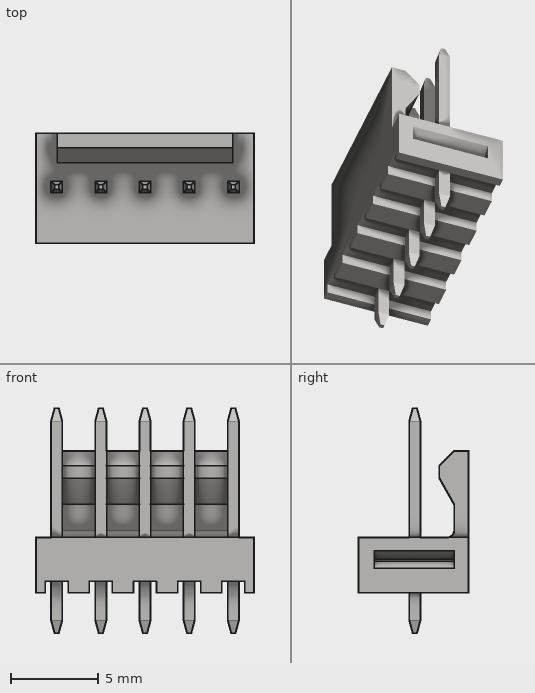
import cadquery as cq

body_length = 12.55
body_depth = 6.35
body_height = 3.19

pin_count = 5
pin_pitch = 2.54
pin_width = 0.66
pin_length = 12.95
pin_below_body = 2.33
pin_y = 3.25
tip_height = 0.76
tip_width = 0.25

groove_width = 1.31
groove_depth = 0.66

wall_length = 10.11
wall_height = 4.97
wall_thickness = 0.84
hook_reach = 0.85
hook_nose_height = 0.71
hook_underside_height = 1.52
wall_root_radius = 0.4

pocket_margin = 0.84
pocket_width = 4.58
pocket_top_gap = 0.76
pocket_depth = 0.61
pocket_roof_drop = 0.48
pocket_floor_rise = 0.4
pocket_end_height = 0.12

pin_positions = [(i - (pin_count - 1) / 2) * pin_pitch for i in range(pin_count)]


def make_body():
    body = cq.Workplane("XY").box(body_length, body_depth, body_height, centered=(True, False, False))
    for x in pin_positions:
        groove = (
            cq.Workplane("XY")
            .center(x, 0)
            .box(groove_width, body_depth, groove_depth, centered=(True, False, False))
        )
        body = body.cut(groove)
    return body


def make_pocket():
    """Pocket in the -X end: its roof and floor converge on a narrow end wall."""
    mouth_x = -body_length / 2
    end_x = mouth_x + pocket_depth
    roof_z = body_height - pocket_top_gap
    end_top_z = roof_z - pocket_roof_drop
    end_bottom_z = end_top_z - pocket_end_height
    floor_z = end_bottom_z - pocket_floor_rise
    profile = [(mouth_x, roof_z), (end_x, end_top_z), (end_x, end_bottom_z), (mouth_x, floor_z)]
    rear_y = body_depth - pocket_margin
    return cq.Workplane("XZ", origin=(0, rear_y, 0)).polyline(profile).close().extrude(pocket_width)


def make_locking_wall():
    """Profile in the YZ plane, extruded along X."""
    back_y = body_depth
    face_y = back_y - wall_thickness
    nose_y = face_y - hook_reach
    top_z = body_height + wall_height
    nose_top_z = top_z - hook_reach
    nose_bottom_z = nose_top_z - hook_nose_height
    hook_bottom_z = nose_bottom_z - hook_underside_height
    return (
        cq.Workplane("YZ", origin=(-wall_length / 2, 0, 0))
        .moveTo(back_y, body_height)
        .lineTo(back_y, top_z)
        .lineTo(face_y, top_z)
        .lineTo(nose_y, nose_top_z)
        .lineTo(nose_y, nose_bottom_z)
        .lineTo(face_y, hook_bottom_z)
        .lineTo(face_y, body_height + wall_root_radius)
        .radiusArc((face_y - wall_root_radius, body_height), wall_root_radius)
        .close()
        .extrude(wall_length)
    )


def make_pin(x):
    shaft_bottom_z = tip_height - pin_below_body
    shaft_length = pin_length - 2 * tip_height
    pin = (
        cq.Workplane("XY", origin=(x, pin_y, shaft_bottom_z))
        .rect(pin_width, pin_width)
        .extrude(shaft_length)
    )
    for base_z, rise in ((shaft_bottom_z, -tip_height), (shaft_bottom_z + shaft_length, tip_height)):
        tip = (
            cq.Workplane("XY", origin=(x, pin_y, base_z))
            .rect(pin_width, pin_width)
            .workplane(offset=rise)
            .rect(tip_width, tip_width)
            .loft(ruled=True)
        )
        pin = pin.union(tip)
    return pin


left_pocket = make_pocket()
result = make_body().cut(left_pocket).cut(left_pocket.mirror("YZ"))
result = result.union(make_locking_wall())
for pin_x in pin_positions:
    result = result.union(make_pin(pin_x))